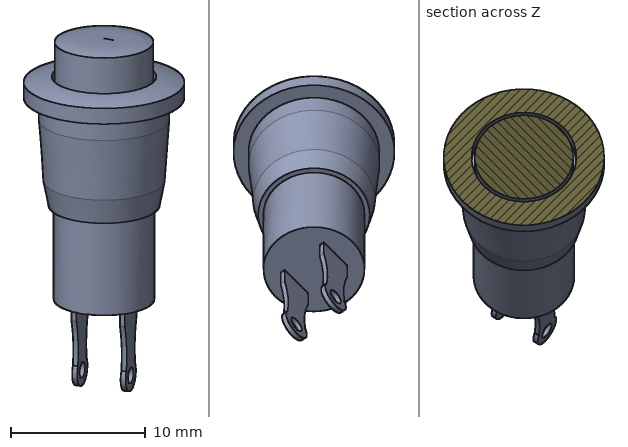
import cadquery as cq
import math


flange_radius = 11.94 / 2
flange_rim_height = 1.23
flange_top = 1.66
collar_radius = 9.72 / 2
collar_bottom = -1.66
seam_height = -6.46
seam_radius = 4.52
bezel_bottom = -8.43
bezel_bottom_radius = 4.13
bore_radius = 7.74 / 2

button_radius = 7.34 / 2
button_top = 4.65
button_edge_drop = 0.26
button_crown_power = 6
button_crown_steps = 6

barrel_radius = 7.5 / 2
barrel_bottom = -15.8

overall_height = 27.42
terminal_length = overall_height - button_top + barrel_bottom
terminal_thickness = 0.4
terminal_offset = 1.9
tab_half_width = 1.36
tab_length = 1.48
neck_half_width = 0.93
neck_depth = 4.0
eye_radius = 1.2
eye_hole_diameter = 1.2
eye_shoulder = 0.63


def make_bezel():
    crown_width = flange_radius - bore_radius
    crown_fall = flange_top - flange_rim_height
    crown_arc_radius = (crown_width**2 + crown_fall**2) / (2 * crown_fall)
    half_width = crown_width / 2
    half_width_fall = crown_arc_radius - math.sqrt(crown_arc_radius**2 - half_width**2)
    crown_middle = (bore_radius + half_width, flange_top - half_width_fall)
    profile = (
        cq.Workplane("XZ")
        .moveTo(0, bezel_bottom)
        .lineTo(bezel_bottom_radius, bezel_bottom)
        .lineTo(seam_radius, seam_height)
        .lineTo(collar_radius, collar_bottom)
        .lineTo(collar_radius, 0)
        .lineTo(flange_radius, 0)
        .lineTo(flange_radius, flange_rim_height)
        .threePointArc(crown_middle, (bore_radius, flange_top))
        .lineTo(bore_radius, 0)
        .lineTo(0, 0)
        .close()
    )
    return profile.revolve(360, (0, 0, 0), (0, 1, 0))


def button_crown_height(radius):
    """Height of the button's end face: almost flat in the middle, rounded off at the rim."""
    return button_top - button_edge_drop * (radius / button_radius) ** button_crown_power


def make_button():
    steps = range(1, button_crown_steps + 1)
    crown_radii = [button_radius * (1 - step / button_crown_steps) for step in steps]
    crown_points = [(radius, button_crown_height(radius)) for radius in crown_radii]
    profile = (
        cq.Workplane("XZ")
        .lineTo(button_radius, 0)
        .lineTo(button_radius, button_crown_height(button_radius))
        .spline(crown_points, includeCurrent=True)
        .close()
    )
    return profile.revolve(360, (0, 0, 0), (0, 1, 0))


def make_barrel():
    return (
        cq.Workplane("XY", origin=(0, 0, barrel_bottom))
        .circle(barrel_radius)
        .extrude(bezel_bottom - barrel_bottom)
    )


def make_terminal(x_center):
    eye_center = eye_radius - terminal_length
    shoulder = eye_center + eye_shoulder
    shoulder_half_width = math.sqrt(eye_radius**2 - eye_shoulder**2)
    plate = (
        cq.Workplane("YZ", origin=(x_center - terminal_thickness / 2, 0, barrel_bottom))
        .moveTo(-tab_half_width, 0)
        .lineTo(-tab_half_width, -tab_length)
        .threePointArc((-neck_half_width, -neck_depth), (-shoulder_half_width, shoulder))
        .threePointArc((0, -terminal_length), (shoulder_half_width, shoulder))
        .threePointArc((neck_half_width, -neck_depth), (tab_half_width, -tab_length))
        .lineTo(tab_half_width, 0)
        .close()
        .extrude(terminal_thickness)
    )
    eye_hole = (
        cq.Workplane("YZ", origin=(x_center - terminal_thickness / 2, 0, barrel_bottom + eye_center))
        .circle(eye_hole_diameter / 2)
        .extrude(terminal_thickness)
    )
    return plate.cut(eye_hole)


bezel = make_bezel()
button = make_button()
barrel = make_barrel()
terminals = [make_terminal(side * terminal_offset) for side in (-1, 1)]

result = cq.Compound.makeCompound(
    [bezel.val(), button.val(), barrel.val(), *[terminal.val() for terminal in terminals]]
)